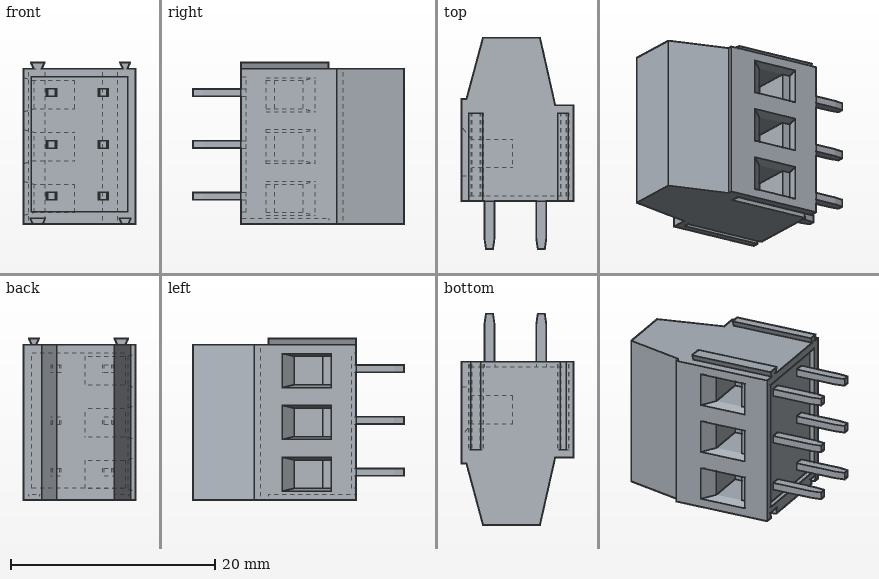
import cadquery as cq


OVERALL_LENGTH = 20.7
OVERALL_HEIGHT = 15.84

POLE_COUNT = 3
POLE_PITCH = 5.07

WIDTH = 11.0
LENGTH = 16.0
HEIGHT = 15.24
LEFT_SHOULDER_Y = 10.0
LEFT_SHOULDER_WIDTH = 0.5
RIGHT_SHOULDER_Y = 9.4
RIGHT_SHOULDER_WIDTH = 1.8
HEAD_LEFT_X = 2.11
HEAD_RIGHT_X = 7.7

RECESS_SIDE_WALL = 0.79
RECESS_TOP_WALL = 0.8
RECESS_BOTTOM_WALL = 1.2
RECESS_DEPTH = 0.5

PIN_WIDTH = 1.0
PIN_THICKNESS = 0.72
PIN_TIP_WIDTH = 0.7
PIN_TAPER = 1.0
PIN_REACH = OVERALL_LENGTH - LENGTH
PIN_COLUMNS = (2.75, 7.82)
PIN_RISE = (RECESS_BOTTOM_WALL - RECESS_TOP_WALL) / 2

DOVETAIL_LENGTH = 8.61
DOVETAIL_HEIGHT = OVERALL_HEIGHT - HEIGHT
LEFT_DOVETAIL_X = 1.4
RIGHT_DOVETAIL_X = 9.95
LEFT_RAIL_WIDTH = 1.37
RIGHT_RAIL_WIDTH = 1.01
RAIL_UNDERCUT = 0.27
GROOVE_CLEARANCE = 0.12

ENTRY_FRONT_Y = 2.46
ENTRY_BACK_Y = 7.27
ENTRY_HEIGHT = 3.33
HOLE_SIZE = 2.77
HOLE_BACK_Y = 6.07
FUNNEL_DEPTH = 1.0
HOLE_DEPTH = 4.0


def pole_z(index):
    """Height of the centre of a pole."""
    return HEIGHT / 2 + (index - (POLE_COUNT - 1) / 2) * POLE_PITCH


def make_housing():
    """Housing with a tapered head and unequal shoulders."""
    outline = [
        (0, 0),
        (WIDTH, 0),
        (WIDTH, RIGHT_SHOULDER_Y),
        (WIDTH - RIGHT_SHOULDER_WIDTH, RIGHT_SHOULDER_Y),
        (HEAD_RIGHT_X, LENGTH),
        (HEAD_LEFT_X, LENGTH),
        (LEFT_SHOULDER_WIDTH, LEFT_SHOULDER_Y),
        (0, LEFT_SHOULDER_Y),
    ]
    return cq.Workplane("XY").polyline(outline).close().extrude(HEIGHT)


def make_recess():
    """Block removed from the pin-side face."""
    size_x = WIDTH - 2 * RECESS_SIDE_WALL
    size_z = HEIGHT - RECESS_TOP_WALL - RECESS_BOTTOM_WALL
    recess = cq.Workplane("XY").box(size_x, RECESS_DEPTH, size_z, centered=False)
    return recess.translate((RECESS_SIDE_WALL, 0, RECESS_BOTTOM_WALL))


def make_pin(center_x, center_z):
    """Flat pin from the recess floor to a tip narrowed in X."""
    half_width = PIN_WIDTH / 2
    half_tip = PIN_TIP_WIDTH / 2
    taper_y = PIN_TAPER - PIN_REACH
    outline = [
        (-half_width, RECESS_DEPTH),
        (-half_width, taper_y),
        (-half_tip, -PIN_REACH),
        (half_tip, -PIN_REACH),
        (half_width, taper_y),
        (half_width, RECESS_DEPTH),
    ]
    pin = cq.Workplane("XY").polyline(outline).close().extrude(PIN_THICKNESS)
    return pin.translate((center_x, 0, center_z - PIN_THICKNESS / 2))


def make_dovetail(center_x, base_z, wide_width):
    """Dovetail bar along Y, narrow at its base and wide at its top."""
    half_top = wide_width / 2
    half_neck = half_top - RAIL_UNDERCUT
    top_z = base_z + DOVETAIL_HEIGHT
    section = [
        (center_x - half_neck, base_z),
        (center_x + half_neck, base_z),
        (center_x + half_top, top_z),
        (center_x - half_top, top_z),
    ]
    return cq.Workplane("XZ").polyline(section).close().extrude(-DOVETAIL_LENGTH)


def make_wire_entry(center_z):
    """Funnel with a straight front wall, followed by a square blind hole."""
    entry_length = ENTRY_BACK_Y - ENTRY_FRONT_Y
    throat_length = HOLE_BACK_Y - ENTRY_FRONT_Y
    throat_shift = (throat_length - entry_length) / 2
    funnel = (
        cq.Workplane("YZ", origin=(0, (ENTRY_FRONT_Y + ENTRY_BACK_Y) / 2, center_z))
        .rect(entry_length, ENTRY_HEIGHT)
        .workplane(offset=FUNNEL_DEPTH)
        .center(throat_shift, 0)
        .rect(throat_length, HOLE_SIZE)
        .loft(ruled=True)
    )
    hole = (
        cq.Workplane("YZ", origin=(FUNNEL_DEPTH, HOLE_BACK_Y - HOLE_SIZE / 2, center_z))
        .rect(HOLE_SIZE, HOLE_SIZE)
        .extrude(HOLE_DEPTH)
    )
    return funnel.union(hole)


result = make_housing().cut(make_recess())

for dovetail_x, rail_width in (
    (LEFT_DOVETAIL_X, LEFT_RAIL_WIDTH),
    (RIGHT_DOVETAIL_X, RIGHT_RAIL_WIDTH),
):
    result = result.union(make_dovetail(dovetail_x, HEIGHT, rail_width))
    result = result.cut(make_dovetail(dovetail_x, 0, rail_width + GROOVE_CLEARANCE))

for pole in range(POLE_COUNT):
    result = result.cut(make_wire_entry(pole_z(pole)))
    for pin_x in PIN_COLUMNS:
        result = result.union(make_pin(pin_x, pole_z(pole) + PIN_RISE))